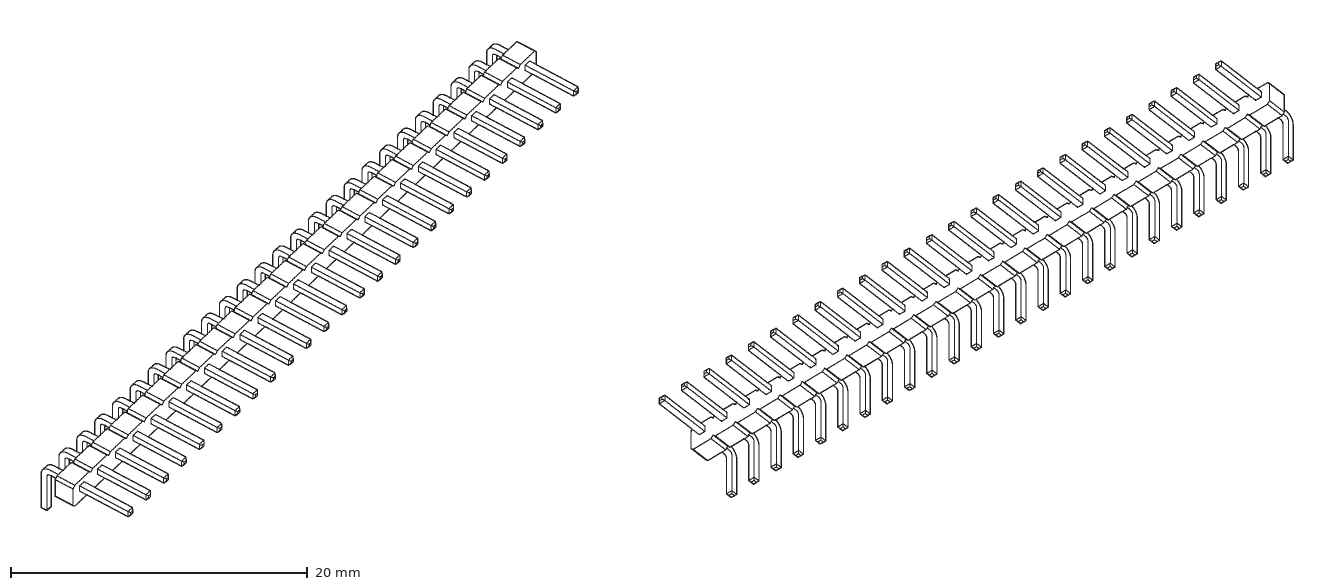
import cadquery as cq

pin_count = 26
pitch = 2.0

overall_depth = 7.45
overall_height = 4.65

cell_depth = 1.5
cell_height = 2.0
cell_chamfer = 0.2

pin_width = 0.5
leg_to_housing = 1.75
arm_below_housing_top = 0.5
bend_inner_radius = 0.25
tip_chamfer = pin_width / 4

half_pin = pin_width / 2
bend_outer_radius = bend_inner_radius + pin_width
housing_min_x = leg_to_housing - half_pin
arm_end_x = overall_depth - half_pin
housing_top_z = half_pin + arm_below_housing_top
leg_end_z = housing_top_z - overall_height
first_pin_y = -(pin_count - 1) * pitch / 2


def make_cell():
    """Housing block around one pin; its chamfers form V-grooves between neighbours."""
    return (
        cq.Workplane("XY")
        .box(cell_depth, pitch, cell_height)
        .edges("|X")
        .chamfer(cell_chamfer)
        .translate((housing_min_x + cell_depth / 2, 0, housing_top_z - cell_height / 2))
    )


def make_pin():
    """Square wire bent through a right angle, with both end faces chamfered."""
    bend_centre_x = half_pin + bend_inner_radius
    bend_centre_z = -bend_centre_x
    return (
        cq.Workplane("XZ")
        .moveTo(-half_pin, leg_end_z)
        .lineTo(-half_pin, bend_centre_z)
        .radiusArc((bend_centre_x, half_pin), bend_outer_radius)
        .lineTo(arm_end_x, half_pin)
        .lineTo(arm_end_x, -half_pin)
        .lineTo(bend_centre_x, -half_pin)
        .radiusArc((half_pin, bend_centre_z), -bend_inner_radius)
        .lineTo(half_pin, leg_end_z)
        .close()
        .extrude(half_pin, both=True)
        .faces(">X")
        .chamfer(tip_chamfer)
        .faces("<Z")
        .chamfer(tip_chamfer)
    )


def make_header():
    """Repeat the housing cell with its pin at every position along the row."""
    unit = make_cell().union(make_pin())
    header = unit.translate((0, first_pin_y, 0))
    for index in range(1, pin_count):
        header = header.union(unit.translate((0, first_pin_y + index * pitch, 0)))
    return header.clean()


result = make_header()